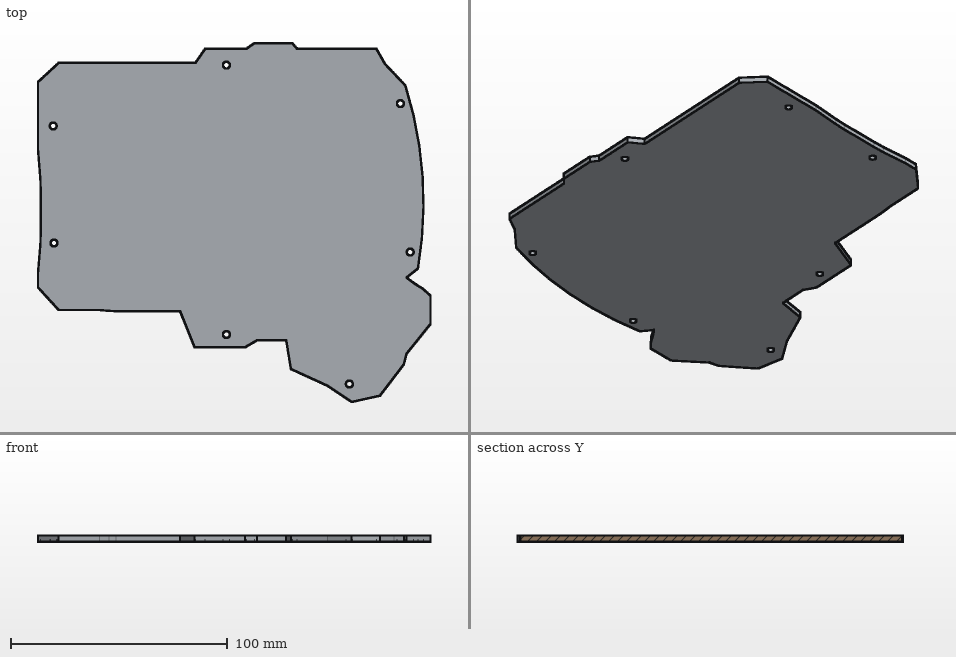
import cadquery as cq

length = 181.3
width = 165.7
thickness = 3.0
hole_diameter = 3.0

main_top = 156.6
step_top = 163.2
step_bottom = 25.2
notch_bottom = 28.5
left_bottom = 42.5
corner_x = 9.6
waist_shallow = 1.0
waist_deep = 1.3

top_edge = [
    (0, 147.8),
    (corner_x, main_top),
    (72.7, main_top),
    (77.2, step_top),
    (96.3, step_top),
    (99.9, width),
    (117.5, width),
    (119.7, step_top),
    (156.3, step_top),
    (160.3, 156.1),
    (169.7, 146.1),
]

bow_middle = (178.0, 95.7)
bow_end = (175.5, 61.6)

lobe_edge = [
    (170.2, 57.5),
    (173.9, 54.7),
    (177.7, 52.4),
    (length, 49.1),
    (length, 36.0),
    (170.2, 22.3),
    (169.0, 17.4),
    (164.5, 11.5),
    (157.9, 2.9),
    (144.9, 0),
    (133.8, 7.5),
    (116.8, 15.2),
    (114.5, notch_bottom),
]

bottom_edge = [
    (101.2, notch_bottom),
    (95.5, step_bottom),
    (72.3, step_bottom),
    (65.6, 41.9),
    (36.0, 41.9),
    (32.8, 42.0),
    (28.5, left_bottom),
    (corner_x, left_bottom),
]

left_edge = [
    (0, 53.0),
    (0, 59.6),
    (waist_shallow, 72.7),
    (waist_deep, 78.5),
    (waist_deep, 97.4),
    (waist_shallow, 103.0),
    (0, 116.5),
]

hole_centers = [
    (7.0, 127.5),
    (87.0, 155.5),
    (167.3, 137.8),
    (171.9, 69.3),
    (143.8, 8.3),
    (87.0, 31.2),
    (7.5, 73.5),
]

plate = (
    cq.Workplane("XY")
    .polyline(top_edge)
    .threePointArc(bow_middle, bow_end)
    .polyline(lobe_edge + bottom_edge + left_edge, includeCurrent=True)
    .close()
    .extrude(thickness)
)

holes = (
    cq.Workplane("XY")
    .pushPoints(hole_centers)
    .circle(hole_diameter / 2)
    .extrude(thickness)
)

result = plate.cut(holes)